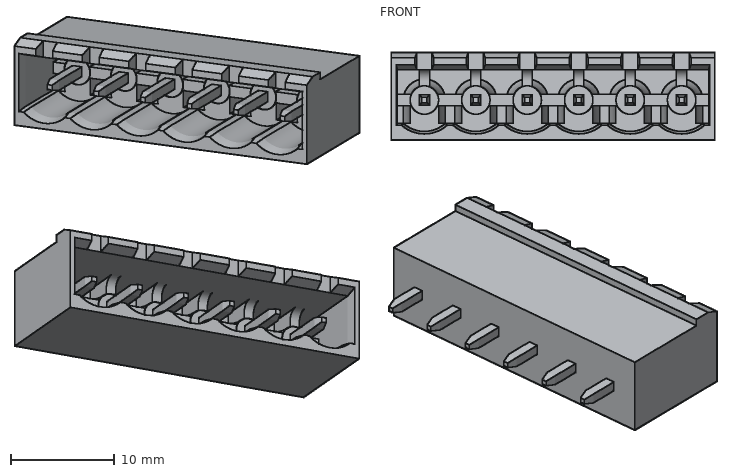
import cadquery as cq
import math

width = 31.4
body_depth = 12.0
body_height = 7.8

lip_height = 8.5
lip_depth = 3.0
lip_front_height = 8.0
mouth_depth = 1.32

pin_count = 6
pin_pitch = 5.0
pin_height = 3.9
pin_size = 1.0
pin_tip_size = 0.5
pin_taper = 1.05
pin_front = 1.25
pin_back = 16.0

side_wall = 0.6
floor_height = 1.63
ceiling_height = 6.85
cavity_depth = 7.55
side_flare = 0.13
floor_flare = 0.2
ceiling_flare = 0.47
scoop_radius = 3.05
scoop_flare = 0.25

notch_width = 1.45
notch_mouth_width = 1.82

boss_length = 3.45
boss_tip_radius = 1.38
boss_root_radius = 2.05
boss_spread = boss_root_radius - boss_tip_radius
bar_height = 1.13
web_width = pin_size
web_cove = 1.07

disc_thickness = 0.1

cavity_width = width - 2 * side_wall
relief_back = cavity_depth + boss_length
first_pin = (width - (pin_count - 1) * pin_pitch) / 2
pin_places = [first_pin + i * pin_pitch for i in range(pin_count)]


def box(x_start, x_end, y_start, y_end, z_start, z_end):
    """Box given by its limits along each axis."""
    size = (x_end - x_start, y_end - y_start, z_end - z_start)
    return cq.Workplane("XY").box(*size, centered=False).translate((x_start, y_start, z_start))


def facing_back(y, x, z):
    """Workplane at depth y looking along the pins, with local Y pointing to -Z."""
    return cq.Workplane(cq.Plane((x, y, z), xDir=(1, 0, 0), normal=(0, 1, 0)))


def make_housing():
    """Side profile of the housing, swept across its width."""
    profile = [
        (0, 0),
        (body_depth, 0),
        (body_depth, body_height),
        (lip_depth, body_height),
        (lip_depth, lip_height),
        (mouth_depth, lip_height),
        (0, lip_front_height),
    ]
    return cq.Workplane("YZ").polyline(profile).close().extrude(width)


def make_cavity():
    """Rectangular cavity and its tapered mouth."""
    straight = box(side_wall, width - side_wall, 0, cavity_depth, floor_height, ceiling_height)
    height = ceiling_height - floor_height
    mid_height = (ceiling_height + floor_height) / 2
    mouth_shift = (floor_flare - ceiling_flare) / 2
    mouth = (
        facing_back(0, width / 2, mid_height)
        .center(0, mouth_shift)
        .rect(cavity_width + 2 * side_flare, height + floor_flare + ceiling_flare)
        .workplane(offset=mouth_depth)
        .center(0, -mouth_shift)
        .rect(cavity_width, height)
        .loft(ruled=True)
    )
    return straight.union(mouth)


def make_scoop(x):
    """Round channel in the floor below a pin, coned outwards at the mouth."""
    channel = facing_back(0, x, pin_height).circle(scoop_radius).extrude(cavity_depth)
    cone = (
        facing_back(0, x, pin_height)
        .circle(scoop_radius + scoop_flare)
        .workplane(offset=mouth_depth)
        .circle(scoop_radius)
        .loft()
    )
    mouth_wall = side_wall - side_flare
    below_floor = box(mouth_wall, width - mouth_wall, 0, cavity_depth, 0, floor_height)
    return channel.union(cone).intersect(below_floor)


def make_notch(x):
    """Tapered notch that opens the lip above a pin."""
    outline = [
        (x - notch_mouth_width / 2, 0),
        (x + notch_mouth_width / 2, 0),
        (x + notch_width / 2, mouth_depth),
        (x - notch_width / 2, mouth_depth),
    ]
    base = cq.Workplane("XY", origin=(0, 0, pin_height))
    return base.polyline(outline).close().extrude(lip_height)


def flare_profile(origin):
    """Half section of a boss: narrow at the front, curving outwards to its root."""
    sweep = 2 * math.atan2(boss_spread, boss_length)
    flare_radius = boss_length / math.sin(sweep)
    middle_radius = boss_tip_radius + flare_radius * (1 - math.cos(sweep / 2))
    middle_depth = flare_radius * math.sin(sweep / 2)
    return (
        cq.Workplane("XY", origin=origin)
        .lineTo(boss_tip_radius, 0)
        .threePointArc((middle_radius, middle_depth), (boss_root_radius, boss_length))
        .lineTo(0, boss_length)
        .close()
    )


def make_boss(x):
    """Trumpet-shaped boss around a pin, carried straight down to the floor."""
    origin = (x, cavity_depth, pin_height)
    dome = flare_profile(origin).revolve(360, (0, 0), (0, 1))
    right_leg = flare_profile(origin).extrude(-pin_height)
    left_leg = right_leg.mirror("YZ", origin)
    return dome.union(right_leg).union(left_leg)


def make_web(x):
    """Web from a boss up to the ceiling, blended into the ceiling by a cove."""
    arc_middle = web_cove * math.cos(math.pi / 4)
    return (
        cq.Workplane("YZ", origin=(x - web_width / 2, 0, 0))
        .moveTo(relief_back, pin_height)
        .lineTo(cavity_depth, pin_height)
        .lineTo(cavity_depth, ceiling_height - web_cove)
        .threePointArc(
            (cavity_depth - web_cove + arc_middle, ceiling_height - web_cove + arc_middle),
            (cavity_depth - web_cove, ceiling_height),
        )
        .lineTo(relief_back, ceiling_height)
        .close()
        .extrude(web_width)
    )


def make_disc(x):
    """Low disc standing on the boss around a pin."""
    front = facing_back(cavity_depth - disc_thickness, x, pin_height)
    return front.circle(boss_tip_radius).extrude(disc_thickness)


def make_pin(x):
    """Square pin through the rear wall, tapered at both ends."""
    shank = box(x - pin_size / 2, x + pin_size / 2, pin_front + pin_taper, pin_back - pin_taper,
                pin_height - pin_size / 2, pin_height + pin_size / 2)
    front_tip = (
        facing_back(pin_front, x, pin_height)
        .rect(pin_tip_size, pin_tip_size)
        .workplane(offset=pin_taper)
        .rect(pin_size, pin_size)
        .loft(ruled=True)
    )
    back_tip = (
        facing_back(pin_back - pin_taper, x, pin_height)
        .rect(pin_size, pin_size)
        .workplane(offset=pin_taper)
        .rect(pin_tip_size, pin_tip_size)
        .loft(ruled=True)
    )
    return shank.union(front_tip).union(back_tip)


relief = box(side_wall, width - side_wall, cavity_depth, relief_back, floor_height, ceiling_height)
cross_bar = box(0, width, cavity_depth, relief_back,
                pin_height - bar_height / 2, pin_height + bar_height / 2)
relief = relief.cut(cross_bar)
for place in pin_places:
    relief = relief.cut(make_boss(place))

result = make_housing().cut(make_cavity()).cut(relief)
for place in pin_places:
    result = result.cut(make_scoop(place)).cut(make_notch(place))
for place in pin_places:
    result = result.union(make_web(place)).union(make_disc(place)).union(make_pin(place))